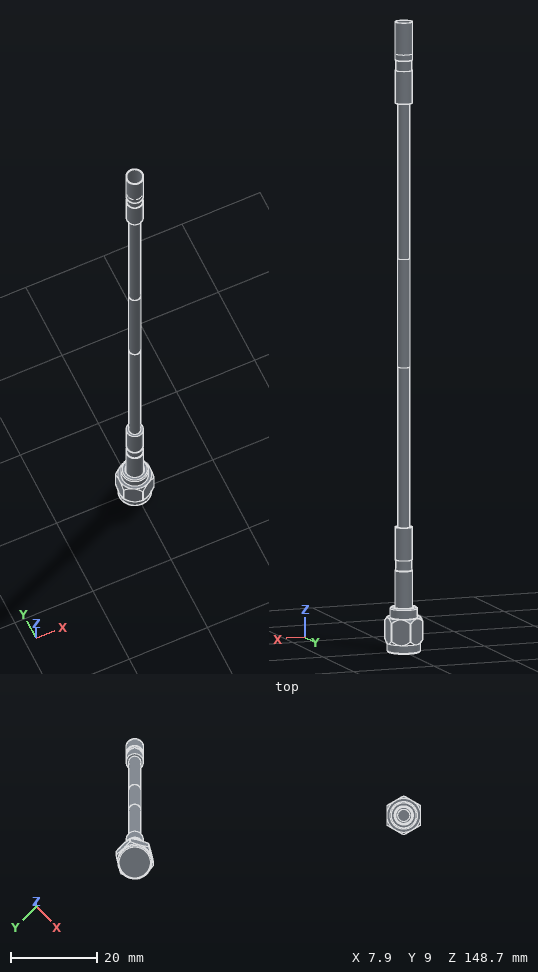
import cadquery as cq
import math

LENGTH = 148.7

CABLE_DIAMETER = 2.8
LABEL_DIAMETER = 3.0
LABEL_BOTTOM = 67.2
LABEL_TOP = 92.8

CRIMP_DIAMETER = 4.0
CRIMP_LENGTH = 7.7
NECK_SMALL_DIAMETER = 3.7
NECK_LARGE_DIAMETER = 3.9
NECK_LENGTH = 2.4

BARREL_DIAMETER = 4.2
BARREL_CHAMFER = 0.1
PLUG_BARREL_TOP = 19.3
SOCKET_BARREL_BOTTOM = 139.6
SOCKET_BORE_DIAMETER = 3.7
SOCKET_FLOOR_THICKNESS = 1.5

HEX_ACROSS_FLATS = 7.9
HEX_CORNER_TRIM = 0.06
SKIRT_DIAMETER = HEX_ACROSS_FLATS
SKIRT_CHAMFER = 0.3
HEX_BOTTOM = 2.1
HEX_TOP = 8.2
HEX_CHAMFER_HEIGHT = 0.9
COLLAR_DIAMETER = 6.4
COLLAR_TOP = 10.5
COLLAR_CHAMFER = 0.3
RECESS_CLEARANCE = 0.1
RECESS_DEPTH = 0.7

RECESS_FLOOR = COLLAR_TOP - RECESS_DEPTH
SOCKET_FLOOR = SOCKET_BARREL_BOTTOM + SOCKET_FLOOR_THICKNESS


def cylinder(diameter, bottom, top):
    """Solid round bar along Z between two heights."""
    return cq.Workplane("XY").workplane(offset=bottom).circle(diameter / 2).extrude(top - bottom)


def turned(profile):
    """Solid turned about Z from a closed outline of (radius, height) points."""
    return cq.Workplane("XZ").polyline(profile).close().revolve(360, (0, 0, 0), (0, 1, 0))


def make_cable():
    """Round cable from the plug barrel to the floor of the socket bore."""
    return cylinder(CABLE_DIAMETER, PLUG_BARREL_TOP, SOCKET_FLOOR)


def make_label():
    """Thin label wrapped round the middle of the cable."""
    label = cylinder(LABEL_DIAMETER, LABEL_BOTTOM, LABEL_TOP)
    return label.cut(cylinder(CABLE_DIAMETER, LABEL_BOTTOM, LABEL_TOP))


def make_crimp_sleeve(barrel_end, direction):
    """Turned sleeve round the cable, running from a barrel end up (1) or down (-1)."""
    cable_radius = CABLE_DIAMETER / 2
    neck_end = barrel_end + direction * NECK_LENGTH
    sleeve_end = neck_end + direction * CRIMP_LENGTH
    return turned([
        (cable_radius, barrel_end),
        (NECK_LARGE_DIAMETER / 2, barrel_end),
        (NECK_SMALL_DIAMETER / 2, neck_end),
        (CRIMP_DIAMETER / 2, neck_end),
        (CRIMP_DIAMETER / 2, sleeve_end),
        (cable_radius, sleeve_end),
    ])


def make_hexagon():
    """Hexagon with trimmed corners along Y, turned to a cone at both ends."""
    flat_radius = HEX_ACROSS_FLATS / 2
    sharp_corner_radius = flat_radius / math.cos(math.pi / 6)
    corner_radius = sharp_corner_radius - HEX_CORNER_TRIM
    prism = (
        cq.Workplane("XY")
        .workplane(offset=HEX_BOTTOM)
        .transformed(rotate=(0, 0, 90))
        .polygon(6, 2 * sharp_corner_radius)
        .extrude(HEX_TOP - HEX_BOTTOM)
    )
    turned_blank = turned([
        (0, HEX_BOTTOM),
        (flat_radius, HEX_BOTTOM),
        (corner_radius, HEX_BOTTOM + HEX_CHAMFER_HEIGHT),
        (corner_radius, HEX_TOP - HEX_CHAMFER_HEIGHT),
        (flat_radius, HEX_TOP),
        (0, HEX_TOP),
    ])
    return prism.intersect(turned_blank)


def make_plug():
    """Plug: round skirt, hexagon and collar, with the barrel standing in a ring-shaped recess."""
    skirt = cylinder(SKIRT_DIAMETER, 0, HEX_BOTTOM).faces("<Z").chamfer(SKIRT_CHAMFER)
    collar = cylinder(COLLAR_DIAMETER, HEX_TOP, COLLAR_TOP).faces(">Z").chamfer(COLLAR_CHAMFER)
    recess = cylinder(BARREL_DIAMETER + 2 * RECESS_CLEARANCE, RECESS_FLOOR, COLLAR_TOP)
    barrel = cylinder(BARREL_DIAMETER, RECESS_FLOOR, PLUG_BARREL_TOP).faces(">Z").chamfer(BARREL_CHAMFER)
    return skirt.union(make_hexagon()).union(collar).cut(recess).union(barrel)


def make_socket():
    """Socket: a barrel bored from the top, with the cable passing through its floor."""
    barrel = cylinder(BARREL_DIAMETER, SOCKET_BARREL_BOTTOM, LENGTH).faces("<Z").chamfer(BARREL_CHAMFER)
    bore = cylinder(SOCKET_BORE_DIAMETER, SOCKET_FLOOR, LENGTH)
    cable_hole = cylinder(CABLE_DIAMETER, SOCKET_BARREL_BOTTOM, SOCKET_FLOOR)
    return barrel.cut(bore).cut(cable_hole)


cable = make_cable()
label = make_label()
plug = make_plug()
socket = make_socket()
crimp_sleeves = [
    make_crimp_sleeve(barrel_end, direction)
    for barrel_end, direction in ((PLUG_BARREL_TOP, 1), (SOCKET_BARREL_BOTTOM, -1))
]

result = cq.Compound.makeCompound([
    cable.val(),
    label.val(),
    plug.val(),
    socket.val(),
    *[sleeve.val() for sleeve in crimp_sleeves],
])